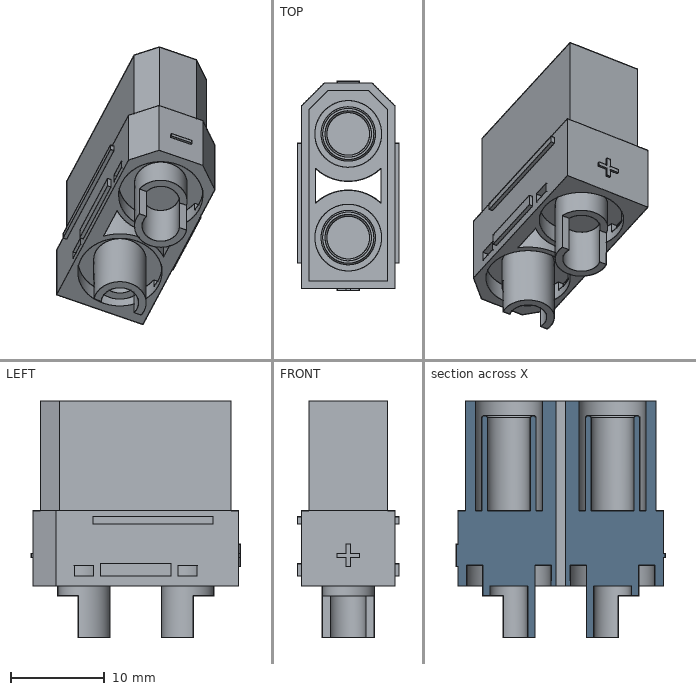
import cadquery as cq

total_height = 25.2
base_bottom = 5.5
base_height = 8.01
base_top = base_bottom + base_height
shell_height = total_height - base_top

base_width = 10.0
base_length = 21.9
base_chamfer = 2.47
shell_inset = 0.8
shell_width = base_width - 2 * shell_inset
shell_length = base_length - 2 * shell_inset
shell_chamfer = 2.05

contact_pitch = 11.05
contact_sides = (1, -1)
bore_radius = 3.55

socket_outer_radius = 2.9
socket_inner_radius = 2.27
socket_recess = 1.55
socket_outer_chamfer = 0.18
socket_inner_chamfer = 0.2

cup_radius = 2.8
cup_bore_radius = 2.0
cup_collar_height = 1.05
cup_opening_offset = 0.6
cup_well_radius = 4.49

window_length = 2.05
window_sill_height = 1.05
window_bottom = base_bottom + window_sill_height
window_height = 1.13
window_top = window_bottom + window_height

opening_width = 6.95
opening_wall_radius = 5.07

bar_thickness = 0.4
upper_bar_length = 12.78
upper_bar_height = 0.8
upper_bar_center_y = -1.85
upper_bar_drop = 0.63
upper_bar_bottom = base_top - upper_bar_drop - upper_bar_height
lower_bar_length = 7.48
lower_bar_height = 1.34
lower_bar_bottom = window_bottom

mark_thickness = 0.2
mark_length = 2.4
mark_stroke = 0.45
mark_center_z = base_bottom + 3.25


def box(size_x, size_y, size_z, x, y, bottom):
    """Box centred at (x, y) and standing on the given level."""
    return cq.Workplane("XY", origin=(x, y, bottom)).rect(size_x, size_y).extrude(size_z)


def cylinder(radius, y, bottom, top):
    """Vertical cylinder on the Y axis between two levels."""
    return cq.Workplane("XY", origin=(0, y, bottom)).circle(radius).extrude(top - bottom)


def housing_block(width, length, chamfer, bottom, height):
    """Rectangular block whose two vertical edges on +Y are cut off."""
    block = box(width, length, height, 0, 0, bottom)
    return block.faces(">Y").edges("|Z").chamfer(chamfer)


def center_opening():
    """Through opening that narrows between the two contacts."""
    opening = box(opening_width, contact_pitch, total_height, 0, 0, 0)
    for side in contact_sides:
        opening = opening.cut(cylinder(opening_wall_radius, side * contact_pitch / 2, 0, total_height))
    return opening


def socket(y):
    """Open tube with both rim edges chamfered."""
    rim = total_height - socket_recess
    outside = cylinder(socket_outer_radius, y, base_top, rim)
    outside = outside.faces(">Z").edges().chamfer(socket_outer_chamfer)
    tube = outside.cut(cylinder(socket_inner_radius, y, base_top, rim))
    inner_rim = tube.faces(">Z").edges(cq.selectors.RadiusNthSelector(0))
    return inner_rim.chamfer(socket_inner_chamfer)


def solder_cup(side):
    """Cylinder with a blind bore, open on its outward side below the collar."""
    y = side * contact_pitch / 2
    cup = cylinder(cup_radius, y, 0, window_top)
    cup = cup.cut(cylinder(cup_bore_radius, y, 0, base_bottom))
    cut_y = y + side * (cup_opening_offset + cup_radius)
    cut_height = base_bottom - cup_collar_height
    return cup.cut(box(2 * cup_radius, 2 * cup_radius, cut_height, 0, cut_y, 0))


housing = housing_block(base_width, base_length, base_chamfer, base_bottom, base_height)
housing = housing.union(housing_block(shell_width, shell_length, shell_chamfer, base_top, shell_height))
housing = housing.cut(center_opening())

for contact_side in contact_sides:
    contact_y = contact_side * contact_pitch / 2
    housing = housing.cut(cylinder(bore_radius, contact_y, base_top, total_height))
    housing = housing.cut(cylinder(cup_well_radius, contact_y, base_bottom, window_top))
    housing = housing.cut(box(base_width, window_length, window_height, 0, contact_y, window_bottom))
    housing = housing.union(socket(contact_y)).union(solder_cup(contact_side))

for face_side in (1, -1):
    bar_x = face_side * (base_width + bar_thickness) / 2
    housing = housing.union(
        box(bar_thickness, upper_bar_length, upper_bar_height, bar_x, upper_bar_center_y, upper_bar_bottom)
    )
    housing = housing.union(
        box(bar_thickness, lower_bar_length, lower_bar_height, bar_x, 0, lower_bar_bottom)
    )

mark_y = (base_length + mark_thickness) / 2
stroke_bottom = mark_center_z - mark_stroke / 2
plus_bottom = mark_center_z - mark_length / 2
for end_side in (1, -1):
    horizontal_stroke = box(mark_length, mark_thickness, mark_stroke, 0, end_side * mark_y, stroke_bottom)
    housing = housing.union(horizontal_stroke)
housing = housing.union(box(mark_stroke, mark_thickness, mark_length, 0, -mark_y, plus_bottom))

result = housing